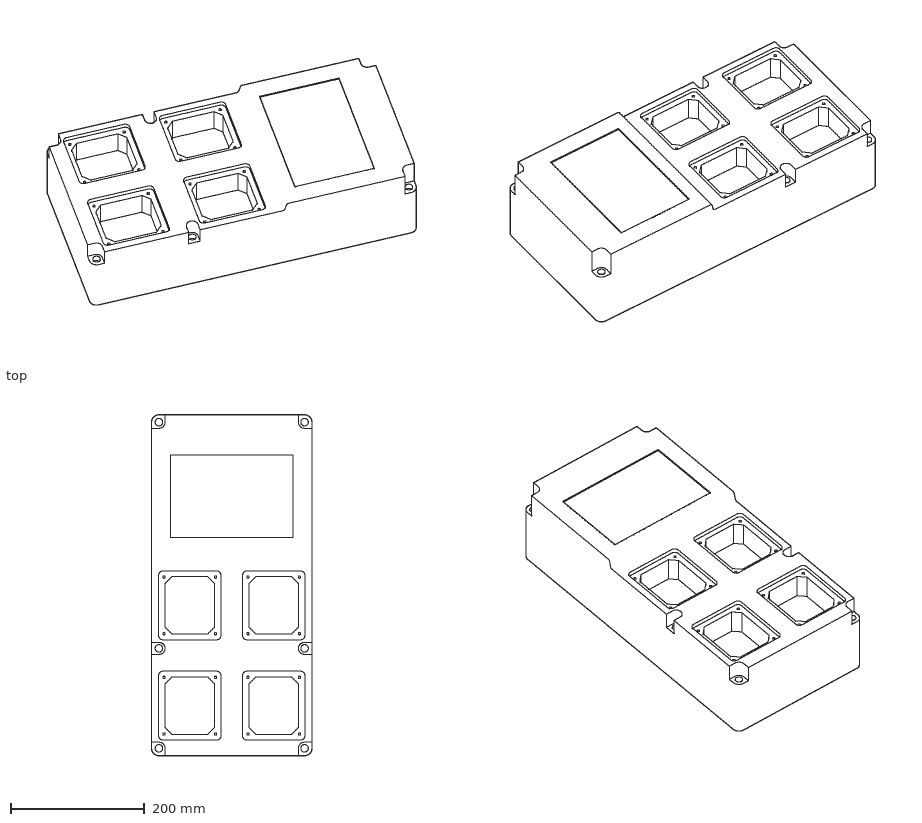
import cadquery as cq
import math

WIDTH = 240.0
LENGTH = 510.0
HEIGHT = 135.0
CORNER_RADIUS = 11.0

DECK_HEIGHT = 121.0
STEP_TOP_Y = 50.0
STEP_ANGLE = 15.0
STEP_FILLET = 3.5

DISPLAY_WIDTH = 183.5
DISPLAY_LENGTH = 124.0
DISPLAY_DEPTH = 2.0
DISPLAY_Y = 133.0

GAUGE_X = 62.5
GAUGE_UPPER_Y = -30.0
GAUGE_PITCH_Y = 150.0
RIM_WIDTH = 93.5
RIM_LENGTH = 103.0
RIM_DEPTH = 7.0
RIM_RADIUS = 6.5
WELL_WIDTH = 74.5
WELL_LENGTH = 86.0
WELL_DEPTH = 39.0
WELL_CHAMFER = 10.5
GAUGE_SCREW_PITCH_X = 77.0
GAUGE_SCREW_PITCH_Y = 84.5
GAUGE_SCREW_DIAMETER = 3.5
GAUGE_SCREW_DEPTH = 5.0

SCREW_INSET = 11.0
LID_SCREW_DIAMETER = 11.0
LID_SCREW_DEPTH = 10.0
NOTCH_FLOOR = 94.5
NOTCH_REACH = 20.5
CORNER_NOTCH_RADIUS = 9.0
SIDE_NOTCH_WIDTH = 18.0
SIDE_NOTCH_Y = -94.5


def make_body():
    """Side profile with the sloped step, extruded across the width."""
    step_run = (HEIGHT - DECK_HEIGHT) * math.tan(math.radians(STEP_ANGLE))
    step_bottom_y = STEP_TOP_Y - step_run
    profile = [
        (-LENGTH / 2, 0),
        (LENGTH / 2, 0),
        (LENGTH / 2, HEIGHT),
        (STEP_TOP_Y, HEIGHT),
        (step_bottom_y, DECK_HEIGHT),
        (-LENGTH / 2, DECK_HEIGHT),
    ]
    body = cq.Workplane("YZ").polyline(profile).close().extrude(WIDTH / 2, both=True)
    body = body.edges("|Z").fillet(CORNER_RADIUS)
    for y, z in [(STEP_TOP_Y, HEIGHT), (step_bottom_y, DECK_HEIGHT)]:
        body = body.edges(cq.selectors.NearestToPointSelector((0, y, z))).fillet(STEP_FILLET)
    return body


def block(width, length, bottom, top):
    """Box centred on the Z axis between two heights."""
    return cq.Workplane("XY").workplane(offset=bottom).rect(width, length).extrude(top - bottom)


def make_gauge_cutter():
    """Rounded rim recess, chamfered well and four screw holes."""
    rim_floor = DECK_HEIGHT - RIM_DEPTH
    rim = block(RIM_WIDTH, RIM_LENGTH, rim_floor, DECK_HEIGHT).edges("|Z").fillet(RIM_RADIUS)
    well = block(WELL_WIDTH, WELL_LENGTH, rim_floor - WELL_DEPTH, DECK_HEIGHT)
    well = well.edges("|Z").chamfer(WELL_CHAMFER)
    screws = (
        cq.Workplane("XY").workplane(offset=rim_floor)
        .rect(GAUGE_SCREW_PITCH_X, GAUGE_SCREW_PITCH_Y, forConstruction=True)
        .vertices()
        .circle(GAUGE_SCREW_DIAMETER / 2)
        .extrude(-GAUGE_SCREW_DEPTH)
    )
    return rim.union(well).union(screws)


def make_corner_notch():
    """Square notch for the +X, +Y corner with its inner edge rounded."""
    notch = block(2 * NOTCH_REACH, 2 * NOTCH_REACH, NOTCH_FLOOR, HEIGHT)
    notch = notch.edges("|Z").fillet(CORNER_NOTCH_RADIUS)
    return notch.translate((WIDTH / 2, LENGTH / 2, 0))


def make_side_notch():
    """Round-ended notch opening through the +X side."""
    return (
        cq.Workplane("XY").workplane(offset=NOTCH_FLOOR)
        .center(WIDTH / 2, SIDE_NOTCH_Y)
        .slot2D(2 * NOTCH_REACH, SIDE_NOTCH_WIDTH)
        .extrude(HEIGHT - NOTCH_FLOOR)
    )


def make_lid_screw_holes():
    """Blind screw holes in the floors of all six notches."""
    screw_x = WIDTH / 2 - SCREW_INSET
    screw_y = LENGTH / 2 - SCREW_INSET
    centers = [(side * screw_x, y) for side in (-1, 1) for y in (-screw_y, SIDE_NOTCH_Y, screw_y)]
    return (
        cq.Workplane("XY").workplane(offset=NOTCH_FLOOR)
        .pushPoints(centers)
        .circle(LID_SCREW_DIAMETER / 2)
        .extrude(-LID_SCREW_DEPTH)
    )


result = make_body()

display = block(DISPLAY_WIDTH, DISPLAY_LENGTH, HEIGHT - DISPLAY_DEPTH, HEIGHT)
result = result.cut(display.translate((0, DISPLAY_Y, 0)))

gauge = make_gauge_cutter()
for gauge_x in (-GAUGE_X, GAUGE_X):
    for gauge_y in (GAUGE_UPPER_Y, GAUGE_UPPER_Y - GAUGE_PITCH_Y):
        result = result.cut(gauge.translate((gauge_x, gauge_y, 0)))

corner_notch = make_corner_notch()
corner_notches = corner_notch.union(corner_notch.mirror("XZ"))
right_notches = corner_notches.union(make_side_notch())
result = result.cut(right_notches).cut(right_notches.mirror("YZ"))

result = result.cut(make_lid_screw_holes())